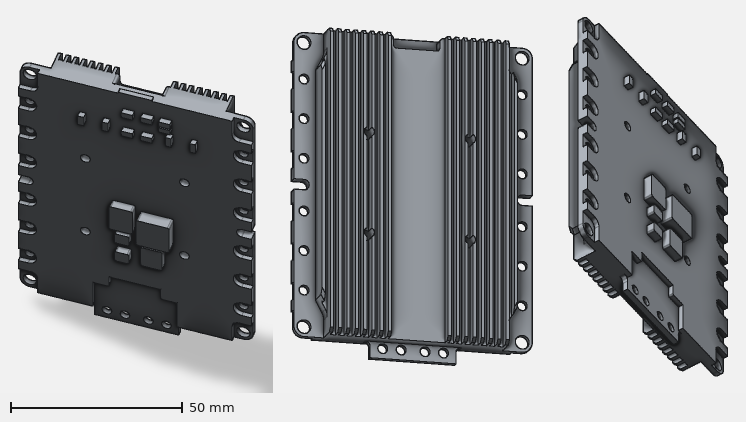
import cadquery as cq
import math

PLATE_W = 72.0
PLATE_H = 92.3
PLATE_T = 3.3
POCKET_DEPTH = 1.6
SCREW_INSET = 3.0
CORNER_HOLE_D = 4.1
CORNER_POCKET_W = 6.0
CORNER_POCKET_H = 8.1
CORNER_POCKET_R = 2.15

SIDE_HOLE_D = 2.9
SIDE_POCKET_D = 5.2
SIDE_FIRST_Z = 8.0
SIDE_PITCH = 12.0
SIDE_PER_QUARTER = 3
SIDE_SLOT_W = 3.1

CENTRE_HOLE_D = 3.0
CENTRE_HOLE_SPACING = 30.6

LIP_W = 10.5
LIP_H = 0.4

BOARD_W = 26.0
BOARD_TOP_Z = -36.15
BOARD_NECK_W = 15.9
BOARD_NECK_TOP_Z = -32.1
BOARD_STEP_R = 0.5
BOARD_OVERHANG = 5.0
BOARD_ROOT_R = 1.6
BOARD_HOLE_D = 2.9
BOARD_HOLE_RISE = 3.0
BOARD_HOLE_X = (3.6, 9.2)

SINK_W = 59.1
SINK_H = PLATE_H
SINK_BASE_T = 4.0
SINK_TOTAL_T = 7.7
SINK_END_CHAMFER = 1.3
FIN_T = 1.0
FINS_PER_SIDE = 9
CHANNEL_W = 17.1
FIN_PITCH = (SINK_W - CHANNEL_W - 2 * FIN_T) / 2 / (FINS_PER_SIDE - 1)
SINK_CORE_W = SINK_W - 2 * FIN_PITCH
SLOPE_START_Z = 34.9
SLOPE_ANGLE = math.radians(28)
SLOPE_BEVEL = 0.9
SHOULDER_R = 4.7
NOTCH_W = 14.1
NOTCH_DEPTH = 3.9
NOTCH_R = 1.1

CHIP_CORNER_R = 0.6
CHIPS = (
    (-3.4, -4.1, 7.2, 9.4, 2.8),
    (6.8, -6.35, 10.3, 10.3, 4.0),
    (6.0, -17.5, 6.6, 7.6, 2.5),
    (-3.2, -12.5, 4.5, 3.8, 2.5),
    (-3.2, -20.0, 4.5, 3.8, 2.5),
)
CAP_LENGTH = 3.5
CAP_WIDTH = 2.0
CAP_NARROW = 1.8
CAP_T = 1.9
FLAT_CAPS = (
    (-1.9, 39.3, CAP_WIDTH),
    (4.1, 39.3, CAP_WIDTH),
    (9.7, 39.3, CAP_WIDTH),
    (9.7, 36.9, CAP_NARROW),
    (-1.9, 31.6, CAP_WIDTH),
    (4.1, 31.6, CAP_WIDTH),
)
UPRIGHT_CAPS_Z = 32.6
UPRIGHT_CAPS = (
    (-16.1, CAP_WIDTH),
    (-8.6, CAP_WIDTH),
    (10.9, CAP_NARROW),
    (18.5, CAP_NARROW),
)

HALF_W = PLATE_W / 2
HALF_H = PLATE_H / 2
SCREW_X = HALF_W - SCREW_INSET
SCREW_Z = HALF_H - SCREW_INSET
BACK_Y = PLATE_T + SINK_TOTAL_T
BOARD_BOTTOM_Z = -HALF_H - BOARD_OVERHANG


def plane(y):
    """Sketch plane at depth y, with local axes X and Z."""
    return cq.Workplane("XZ", origin=(0, y, 0))


def block(x, z, width, height, y_front, y_back):
    return plane(y_front).center(x, z).rect(width, height).extrude(y_front - y_back)


def pins(points, diameter, y_front, y_back):
    return plane(y_front).pushPoints(points).circle(diameter / 2).extrude(y_front - y_back)


def mirrored(points):
    """Each (x, z) point repeated in all four quadrants."""
    return [(sx * x, sz * z) for x, z in points for sx in (-1, 1) for sz in (-1, 1)]


def side_slot(side, z, width, depth):
    """Round-ended slot cutter, running from the line of screws out through the plate side."""
    slot = pins([(side * SCREW_X, z)], width, 0, depth)
    return slot.union(block(side * (SCREW_X + SCREW_INSET), z, 2 * SCREW_INSET, width, 0, depth))


def make_plate():
    plate = block(0, 0, PLATE_W, PLATE_H, 0, PLATE_T).edges("|Y").fillet(SCREW_INSET)
    plate = plate.union(block(0, HALF_H, LIP_W, 2 * LIP_H, 0, POCKET_DEPTH))

    for x, z in mirrored([(HALF_W, HALF_H)]):
        pocket = block(x, z, 2 * CORNER_POCKET_W, 2 * CORNER_POCKET_H, 0, POCKET_DEPTH)
        plate = plate.cut(pocket.edges("|Y").fillet(CORNER_POCKET_R))

    side_zs = [SIDE_FIRST_Z + i * SIDE_PITCH for i in range(SIDE_PER_QUARTER)]
    side_screws = mirrored([(SCREW_X, z) for z in side_zs])
    for x, z in side_screws:
        plate = plate.cut(side_slot(math.copysign(1, x), z, SIDE_POCKET_D, POCKET_DEPTH))
    for side in (-1, 1):
        plate = plate.cut(side_slot(side, 0, SIDE_SLOT_W, PLATE_T))

    plate = plate.cut(pins(side_screws, SIDE_HOLE_D, 0, PLATE_T))
    return plate.cut(pins(mirrored([(SCREW_X, SCREW_Z)]), CORNER_HOLE_D, 0, PLATE_T))


def cut_board_recess(plate):
    wide_h = BOARD_TOP_Z - BOARD_BOTTOM_Z
    neck_h = BOARD_NECK_TOP_Z - BOARD_BOTTOM_Z
    recess = block(0, BOARD_BOTTOM_Z + wide_h / 2, BOARD_W, wide_h, 0, POCKET_DEPTH)
    neck = block(0, BOARD_BOTTOM_Z + neck_h / 2, BOARD_NECK_W, neck_h, 0, POCKET_DEPTH)
    recess = recess.union(neck)
    step = cq.selectors.BoxSelector(
        (-BOARD_NECK_W / 2 - BOARD_STEP_R, 0, BOARD_TOP_Z - BOARD_STEP_R),
        (BOARD_NECK_W / 2 + BOARD_STEP_R, POCKET_DEPTH, BOARD_TOP_Z + BOARD_STEP_R),
    )
    return plate.cut(recess.edges("|Y").edges(step).fillet(BOARD_STEP_R))


def make_board_tongue():
    """Part of the board hanging below the plate, with filleted roots."""
    half = BOARD_W / 2
    flare = half + BOARD_ROOT_R
    root_z = -HALF_H - BOARD_ROOT_R
    tongue = (
        plane(POCKET_DEPTH)
        .moveTo(-half, BOARD_BOTTOM_Z)
        .lineTo(half, BOARD_BOTTOM_Z)
        .lineTo(half, root_z)
        .radiusArc((flare, -HALF_H), BOARD_ROOT_R)
        .lineTo(flare, BOARD_TOP_Z)
        .lineTo(-flare, BOARD_TOP_Z)
        .lineTo(-flare, -HALF_H)
        .radiusArc((-half, root_z), BOARD_ROOT_R)
        .close()
        .extrude(POCKET_DEPTH - PLATE_T)
    )
    hole_z = BOARD_BOTTOM_Z + BOARD_HOLE_RISE
    holes = [(side * x, hole_z) for x in BOARD_HOLE_X for side in (-1, 1)]
    return tongue.cut(pins(holes, BOARD_HOLE_D, 0, PLATE_T))


def make_sink_envelope():
    """Heat sink without grooves: a full-length core between sides with bevelled, sloping ends."""
    core = block(0, 0, SINK_CORE_W, SINK_H, PLATE_T, BACK_Y)
    core = core.faces(">Y").edges("|X").chamfer(SINK_END_CHAMFER)

    side_x = SINK_W / 2
    core_x = SINK_CORE_W / 2
    slope_end_z = SLOPE_START_Z + (side_x - core_x) / math.tan(SLOPE_ANGLE)
    sides = (
        plane(PLATE_T)
        .moveTo(side_x, -SLOPE_START_Z)
        .lineTo(side_x, SLOPE_START_Z)
        .lineTo(core_x, slope_end_z)
        .lineTo(-core_x, slope_end_z)
        .lineTo(-side_x, SLOPE_START_Z)
        .lineTo(-side_x, -SLOPE_START_Z)
        .lineTo(-core_x, -slope_end_z)
        .lineTo(core_x, -slope_end_z)
        .close()
        .extrude(-SINK_TOTAL_T)
    )
    sides = sides.faces(">Y").edges("not (|X or |Z)").chamfer(SINK_END_CHAMFER, SLOPE_BEVEL)

    inner_corners = cq.selectors.BoxSelector(
        (-core_x - FIN_T, 0, -slope_end_z - FIN_T),
        (core_x + FIN_T, BACK_Y, slope_end_z + FIN_T),
    )
    return core.union(sides).edges("|Y").edges(inner_corners).fillet(SHOULDER_R)


def end_notch():
    """Cutter for the notch in the upper end, with rounded mouth and floor corners."""
    wall = NOTCH_W / 2
    mouth = wall + NOTCH_R
    floor = wall - NOTCH_R
    top_z = SINK_H / 2
    floor_z = top_z - NOTCH_DEPTH
    wall_top_z = top_z - NOTCH_R
    wall_bottom_z = floor_z + NOTCH_R
    return (
        plane(PLATE_T)
        .moveTo(-mouth, top_z)
        .radiusArc((-wall, wall_top_z), NOTCH_R)
        .lineTo(-wall, wall_bottom_z)
        .radiusArc((-floor, floor_z), -NOTCH_R)
        .lineTo(floor, floor_z)
        .radiusArc((wall, wall_bottom_z), -NOTCH_R)
        .lineTo(wall, wall_top_z)
        .radiusArc((mouth, top_z), NOTCH_R)
        .close()
        .extrude(-SINK_TOTAL_T)
    )


def make_heat_sink():
    sink = make_sink_envelope()
    groove_y = PLATE_T + SINK_BASE_T
    groove_w = FIN_PITCH - FIN_T
    outer_groove_x = SINK_W / 2 - FIN_T - groove_w / 2
    for i in range(FINS_PER_SIDE - 1):
        x = outer_groove_x - i * FIN_PITCH
        for side in (-1, 1):
            sink = sink.cut(block(side * x, 0, groove_w, SINK_H, groove_y, BACK_Y))

    sink = sink.cut(block(0, 0, CHANNEL_W, SINK_H, groove_y, BACK_Y))
    return sink.cut(end_notch())


def add_components(body):
    for x, z, width, height, thickness in CHIPS:
        chip = block(x, z, width, height, -thickness, 0)
        body = body.union(chip.edges("|Y").fillet(CHIP_CORNER_R))
    for x, z, height in FLAT_CAPS:
        body = body.union(block(x, z, CAP_LENGTH, height, -CAP_T, 0))
    for x, width in UPRIGHT_CAPS:
        body = body.union(block(x, UPRIGHT_CAPS_Z, width, CAP_LENGTH, -CAP_T, 0))
    return body


body = cut_board_recess(make_plate())
body = body.union(make_board_tongue()).union(make_heat_sink())
centre_holes = mirrored([(CENTRE_HOLE_SPACING / 2, CENTRE_HOLE_SPACING / 2)])
body = body.cut(pins(centre_holes, CENTRE_HOLE_D, 0, BACK_Y))
result = add_components(body)